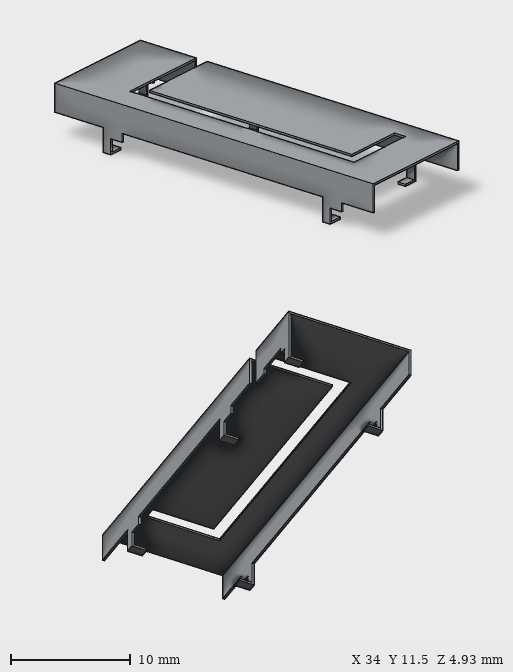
import cadquery as cq

length = 34.0
width = 11.53
height = 4.93
thickness = 0.2

wall_depth = 2.65
end_wall_depth = 2.95
shoulder_depth = 3.47

leg_width = 0.8
shoulder_width = 1.22
foot_length = 1.4
front_leg_starts = (5.17, 28.6)
rear_leg_starts = (11.8, 28.6)
corner_shoulder_end = 1.5
end_shoulder_start = 4.52

slot_width = 1.15
slot_start = 6.0
slot_end = 29.92
slot_front = 2.6
slot_rear_margin = 2.05


def box(x_start, x_end, y_start, y_end, z_start, z_end):
    """Box spanning the given limits."""
    size = (x_end - x_start, y_end - y_start, z_end - z_start)
    return cq.Workplane("XY").box(*size, centered=False).translate((x_start, y_start, z_start))


def wall(x_start, x_end, depth, rear):
    """Wall strip hanging from the top face on the front or rear side."""
    y_start = width - thickness if rear else 0
    return box(x_start, x_end, y_start, y_start + thickness, height - depth, height)


def leg(x_start, rear):
    """Leg ending in a foot turned inward."""
    y_start = width - foot_length if rear else 0
    foot = box(x_start, x_start + leg_width, y_start, y_start + foot_length, 0, thickness)
    return wall(x_start, x_start + leg_width, height, rear).union(foot)


cover = box(0, length, 0, width, height - thickness, height)
cover = cover.union(wall(0, length, wall_depth, rear=False))
cover = cover.union(wall(0, length, wall_depth, rear=True))

cover = cover.union(wall(0, slot_start, end_wall_depth, rear=True))
cover = cover.union(wall(0, corner_shoulder_end, shoulder_depth, rear=True))
cover = cover.union(wall(end_shoulder_start, slot_start, shoulder_depth, rear=True))
cover = cover.union(leg(0, rear=True))

for start in front_leg_starts:
    shoulder_start = start + leg_width
    shoulder = wall(shoulder_start, shoulder_start + shoulder_width, shoulder_depth, rear=False)
    cover = cover.union(leg(start, rear=False)).union(shoulder)

for start in rear_leg_starts:
    shoulder = wall(start - shoulder_width, start, shoulder_depth, rear=True)
    cover = cover.union(leg(start, rear=True)).union(shoulder)

slot_back = slot_front + slot_width
long_leg = box(slot_start, slot_start + slot_width, slot_front, width, 0, height)
crossbar = box(slot_start, slot_end, slot_front, slot_back, height - thickness, height)
short_leg = box(
    slot_end - slot_width, slot_end, slot_front, width - slot_rear_margin, height - thickness, height
)
result = cover.cut(long_leg).cut(crossbar).cut(short_leg)